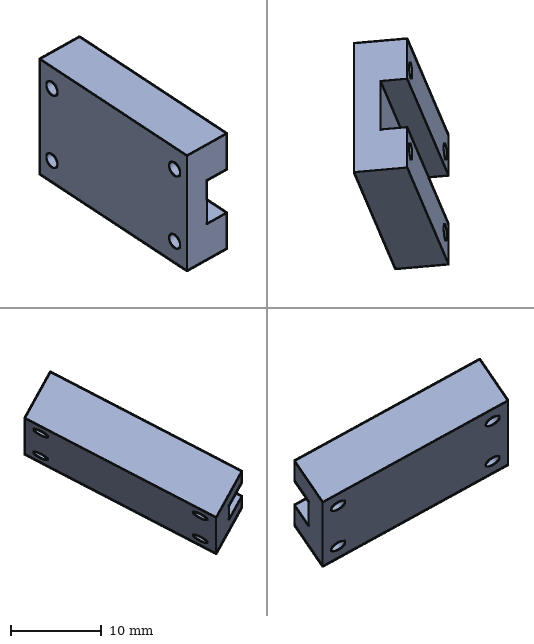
import cadquery as cq

length = 24.0
thickness = length / 4
height = length * 2 / 3

channel_height = thickness
channel_depth = thickness / 2

hole_diameter = 1.8
hole_spacing_x = length * 5 / 6
hole_spacing_z = 10.0


def make_block():
    return cq.Workplane("XY").box(length, thickness, height)


def make_channel():
    centre_y = (thickness - channel_depth) / 2
    return cq.Workplane("XY").box(length, channel_depth, channel_height).translate((0, centre_y, 0))


def make_holes():
    return (
        cq.Workplane("XZ")
        .rarray(hole_spacing_x, hole_spacing_z, 2, 2)
        .circle(hole_diameter / 2)
        .extrude(thickness / 2, both=True)
    )


result = make_block().cut(make_channel()).cut(make_holes())